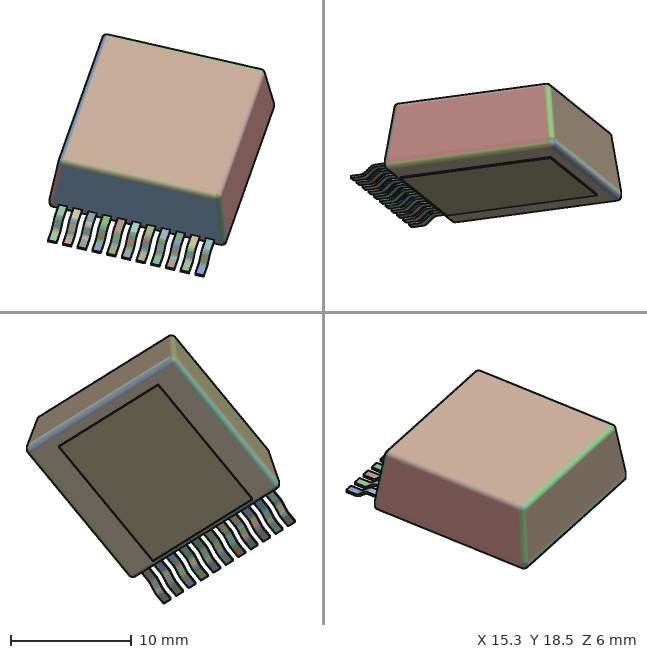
import cadquery as cq
import math

body_side = 15.25
total_length = 18.53
total_height = 6.0
standoff = 0.13
taper_start = 0.9
taper_angle = 7.4
edge_radius = 0.4

pad_width = 10.15
pad_length = 13.43
pad_offset = -0.37
pad_embed = 0.37

lead_count = 11
lead_row_span = 12.7
lead_width = 0.75
lead_thickness = 0.2
lead_top = taper_start
lead_embed = 0.75
shoulder_length = 1.04
bend_radius = 0.67
bend_angle = math.radians(40)


def make_body():
    base = (
        cq.Workplane("XY", origin=(0, 0, standoff))
        .rect(body_side, body_side)
        .extrude(taper_start - standoff)
    )
    cap = (
        cq.Workplane("XY", origin=(0, 0, taper_start))
        .rect(body_side, body_side)
        .extrude(total_height - taper_start, taper=taper_angle)
    )
    body = base.union(cap)
    rounded_edges = body.edges("not #Z").add(body.edges(">Z")).add(body.edges("<Z"))
    return rounded_edges.fillet(edge_radius)


def make_pad():
    return (
        cq.Workplane("XY", origin=(0, pad_offset, 0))
        .rect(pad_width, pad_length)
        .extrude(standoff + pad_embed)
    )


def make_lead():
    """One lead centred on X = 0, swept along its bent centreline."""
    half_thickness = lead_thickness / 2
    shoulder_z = lead_top - half_thickness
    foot_z = half_thickness
    drop = shoulder_z - foot_z

    root_y = -body_side / 2 + lead_embed
    bend_y = -body_side / 2 - shoulder_length
    toe_y = body_side / 2 - total_length

    bend_drop = bend_radius * (1 - math.cos(bend_angle))
    bend_run = bend_radius * math.sin(bend_angle)
    slope_drop = drop - 2 * bend_drop
    slope_run = slope_drop / math.tan(bend_angle)

    half_run = bend_radius * math.sin(bend_angle / 2)
    half_drop = bend_radius * (1 - math.cos(bend_angle / 2))
    slope_start = (bend_y - bend_run, shoulder_z - bend_drop)
    slope_end = (slope_start[0] - slope_run, foot_z + bend_drop)
    foot_y = slope_end[0] - bend_run

    centreline = (
        cq.Workplane("YZ")
        .moveTo(root_y, shoulder_z)
        .lineTo(bend_y, shoulder_z)
        .threePointArc((bend_y - half_run, shoulder_z - half_drop), slope_start)
        .lineTo(*slope_end)
        .threePointArc((foot_y + half_run, foot_z + half_drop), (foot_y, foot_z))
        .lineTo(toe_y, foot_z)
    )
    return (
        cq.Workplane("XZ", origin=(0, root_y, shoulder_z))
        .rect(lead_width, lead_thickness)
        .sweep(centreline)
    )


result = make_body().union(make_pad())

lead = make_lead()
lead_pitch = lead_row_span / (lead_count - 1)
for index in range(lead_count):
    lead_x = index * lead_pitch - lead_row_span / 2
    result = result.union(lead.translate((lead_x, 0, 0)))